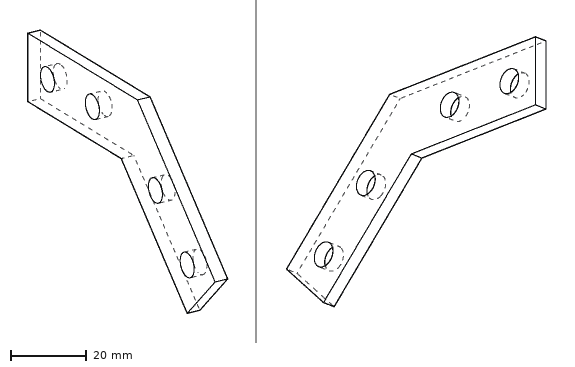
import cadquery as cq
import math

thickness = 4.0
outer_arm_length = 55.0
end_corner_offset = 14.0
bend_angle = 45.0
hole_diameter = 7.0
hole_pitch = 22.5

arm_width = end_corner_offset * math.sqrt(2)
end_to_hole = arm_width / 2
inner_arm_length = outer_arm_length - arm_width * math.tan(math.radians(bend_angle / 2))
slope_cos = math.cos(math.radians(bend_angle))
slope_sin = math.sin(math.radians(bend_angle))


def straight_arm_point(from_end, below_edge):
    """XZ point on the horizontal arm, measured from its free end and outer edge."""
    return (from_end, -below_edge)


def sloping_arm_point(from_end, below_edge):
    """XZ point on the sloping arm, measured from its free end and outer edge."""
    along = outer_arm_length - from_end
    x = outer_arm_length + along * slope_cos - below_edge * slope_sin
    z = -along * slope_sin - below_edge * slope_cos
    return (x, z)


def make_plate():
    """Bent flat bar; its front face lies at Y = 0."""
    outline = [
        straight_arm_point(0, 0),
        straight_arm_point(outer_arm_length, 0),
        sloping_arm_point(0, 0),
        sloping_arm_point(0, arm_width),
        straight_arm_point(inner_arm_length, arm_width),
        straight_arm_point(0, arm_width),
    ]
    return cq.Workplane("XZ").polyline(outline).close().extrude(-thickness)


def make_holes():
    """Through holes on the centreline of both arms, two per arm."""
    centres = []
    for arm_point in (straight_arm_point, sloping_arm_point):
        for from_end in (end_to_hole, end_to_hole + hole_pitch):
            centres.append(arm_point(from_end, arm_width / 2))
    return cq.Workplane("XZ").pushPoints(centres).circle(hole_diameter / 2).extrude(-thickness)


result = make_plate().cut(make_holes())